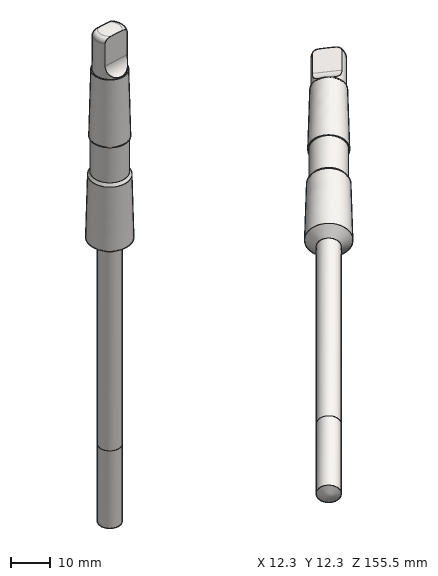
import cadquery as cq
import math

total_length = 155.5

rod_diameter = 6.4
point_angle = 140.0
tip_length = 25.5

cone_start_z = 87.9

taper_base_z = 90.2
taper_base_diameter = 12.3
taper_ratio = 1 / 20
collar_top_z = 110.9
collar_chamfer_height = 1.0
neck_diameter = 10.1
upper_taper_z = 122.1
taper_end_z = 143.0

tang_diameter = 9.0
tang_edge_radius = 1.4
tang_crown_height = 0.2
flat_distance = 2.5
flat_end_z = 147.0
flat_runout_radius = 4.8
flat_direction = -32.0

rod_radius = rod_diameter / 2
neck_radius = neck_diameter / 2
tang_radius = tang_diameter / 2
point_height = rod_radius / math.tan(math.radians(point_angle / 2))


def taper_radius(z):
    """Radius of the shank taper at height z."""
    return (taper_base_diameter - taper_ratio * (z - taper_base_z)) / 2


def revolve_profile(points):
    """Turn a closed (radius, z) outline about the Z axis."""
    return cq.Workplane("XZ").polyline(points).close().revolve(360, (0, 0), (0, 1))


def make_cutting_tip():
    """Round tip with a conical point at Z = 0."""
    return revolve_profile([
        (0, 0),
        (rod_radius, point_height),
        (rod_radius, tip_length),
        (0, tip_length),
    ])


def make_turned_shank():
    """Rod, conical shoulder and the two stretches of taper around the neck."""
    collar_z = collar_top_z - collar_chamfer_height
    return revolve_profile([
        (0, tip_length),
        (rod_radius, tip_length),
        (rod_radius, cone_start_z),
        (taper_radius(taper_base_z), taper_base_z),
        (taper_radius(collar_z), collar_z),
        (neck_radius, collar_top_z),
        (neck_radius, upper_taper_z),
        (taper_radius(upper_taper_z), upper_taper_z),
        (taper_radius(taper_end_z), taper_end_z),
        (0, taper_end_z),
    ])


def make_tang():
    """Round tang with a crowned end, a rounded top edge and two opposite milled flats."""
    crown_radius = tang_radius - tang_edge_radius
    edge_top_z = total_length - tang_crown_height
    edge_bottom_z = edge_top_z - tang_edge_radius
    edge_middle_offset = tang_edge_radius * math.sin(math.radians(45))
    edge_middle = (crown_radius + edge_middle_offset, edge_bottom_z + edge_middle_offset)
    tang = (
        cq.Workplane("XZ")
        .moveTo(0, taper_end_z)
        .lineTo(tang_radius, taper_end_z)
        .lineTo(tang_radius, edge_bottom_z)
        .threePointArc(edge_middle, (crown_radius, edge_top_z))
        .lineTo(0, total_length)
        .close()
        .revolve(360, (0, 0), (0, 1))
    )
    for angle in (flat_direction, flat_direction + 180):
        tang = tang.cut(make_flat_cutter().rotate((0, 0, 0), (0, 0, 1), angle))
    return tang


def make_flat_cutter():
    """Milling path for the +X flat, ending in a concave arc."""
    arc_bend = math.radians(45)
    arc_middle = (
        flat_distance + flat_runout_radius * (1 - math.cos(arc_bend)),
        flat_end_z - flat_runout_radius * math.sin(arc_bend),
    )
    outer_x = flat_distance + flat_runout_radius
    return (
        cq.Workplane("XZ")
        .moveTo(flat_distance, total_length)
        .lineTo(flat_distance, flat_end_z)
        .threePointArc(arc_middle, (outer_x, flat_end_z - flat_runout_radius))
        .lineTo(outer_x, total_length)
        .close()
        .extrude(tang_radius, both=True)
    )


cutting_tip = make_cutting_tip()
shank = make_turned_shank().union(make_tang())

result = cq.Compound.makeCompound([cutting_tip.val(), shank.val()])